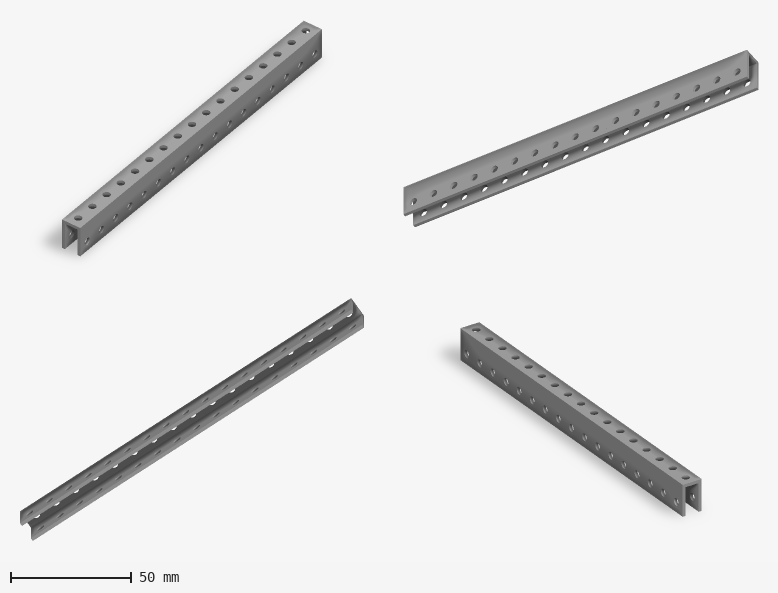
import cadquery as cq

length = 166.0
width = 9.5
height = 15.0
wall = 1.5
hole_diameter = 3.5
hole_count = 17
hole_edge_distance = 4.8

hole_pitch = (length - 2 * hole_edge_distance) / (hole_count - 1)


def channel():
    """U-shaped channel along Y, open at the bottom, centred on X and Y."""
    outer = cq.Workplane("XY").box(width, length, height, centered=(True, True, False))
    inner = cq.Workplane("XY").box(
        width - 2 * wall, length, height - wall, centered=(True, True, False)
    )
    return outer.cut(inner)


def web_holes():
    """Row of vertical cylinders that pierce the top web."""
    return (
        cq.Workplane("XY")
        .rarray(width, hole_pitch, 1, hole_count)
        .circle(hole_diameter / 2)
        .extrude(height)
    )


def flange_holes():
    """Row of horizontal cylinders that pierce both side flanges."""
    return (
        cq.Workplane("YZ")
        .center(0, hole_edge_distance)
        .rarray(hole_pitch, height, hole_count, 1)
        .circle(hole_diameter / 2)
        .extrude(width / 2, both=True)
    )


result = channel().cut(web_holes()).cut(flange_holes())